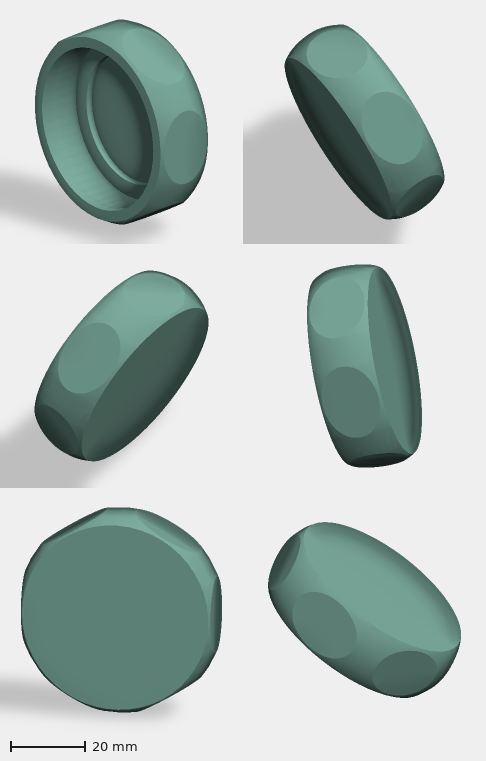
import cadquery as cq

nut_width = 17.0
barrel_diameter = 56.0
barrel_profile_radius = 16.0
across_flats = 52.0
flat_count = 6
bore_diameter = 45.2
floor_thickness = 3.0

seal_outer_diameter = 45.0
seal_inner_diameter = 36.5
seal_thickness = 2.0

front_y = -nut_width / 2
back_y = nut_width / 2
floor_y = back_y - floor_thickness
seal_front_y = floor_y - seal_thickness


def cylinder_along_y(diameter, start_y, end_y):
    """Cylinder on the Y axis between two Y positions."""
    plane = cq.Workplane("XZ", origin=(0, end_y, 0))
    return plane.circle(diameter / 2).extrude(end_y - start_y)


def make_barrel():
    """Revolved body whose bulging side is one arc, widest at mid width."""
    barrel_radius = barrel_diameter / 2
    arc_center_radius = barrel_radius - barrel_profile_radius
    end_radius = arc_center_radius + (barrel_profile_radius**2 - back_y**2) ** 0.5
    profile = (
        cq.Workplane("XY")
        .moveTo(0, front_y)
        .lineTo(end_radius, front_y)
        .threePointArc((barrel_radius, 0), (end_radius, back_y))
        .lineTo(0, back_y)
        .close()
    )
    return profile.revolve(360, (0, 0, 0), (0, 1, 0))


def make_hexagon():
    """Hexagonal prism with one pair of flats facing -X and +X."""
    plane = cq.Workplane("XZ", origin=(0, back_y, 0))
    return plane.polygon(flat_count, across_flats, circumscribed=True).extrude(nut_width)


def make_nut():
    """Barrel cut to six flats, with a blind bore from the front."""
    bore = cylinder_along_y(bore_diameter, front_y, floor_y)
    return make_barrel().intersect(make_hexagon()).cut(bore)


def make_seal():
    """Flat ring seated on the bore floor."""
    disc = cylinder_along_y(seal_outer_diameter, seal_front_y, floor_y)
    opening = cylinder_along_y(seal_inner_diameter, seal_front_y, floor_y)
    return disc.cut(opening)


nut = make_nut()
seal = make_seal()

result = cq.Compound.makeCompound([nut.val(), seal.val()])